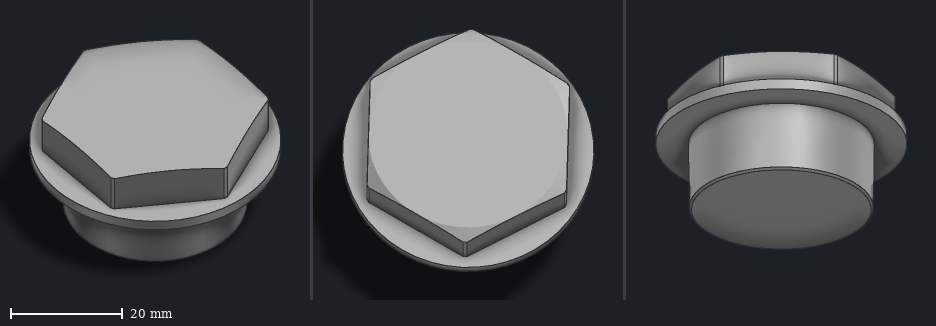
import cadquery as cq
import math

flange_diameter = 45.0
flange_thickness = 2.0
hex_across_flats = 35.7
hex_corner_diameter = 40.8
hex_height = 7.8
hex_chamfer_angle = 15.0
shank_length = 13.0
shank_root_diameter = 33.3
shank_end_diameter = 32.95
shank_chamfer = 0.4

flange_bottom = shank_length
flange_top = flange_bottom + flange_thickness
hex_top = flange_top + hex_height


def make_shank():
    """Slightly tapered plug, narrowest at its chamfered free end."""
    root_radius = shank_root_diameter / 2
    end_radius = shank_end_diameter / 2
    profile = (
        cq.Workplane("XZ")
        .moveTo(0, 0)
        .lineTo(end_radius - shank_chamfer, 0)
        .lineTo(end_radius, shank_chamfer)
        .lineTo(root_radius, flange_bottom)
        .lineTo(0, flange_bottom)
        .close()
    )
    return profile.revolve(360, (0, 0, 0), (0, 1, 0))


def make_flange():
    """Round sealing flange between the shank and the head."""
    return (
        cq.Workplane("XY")
        .workplane(offset=flange_bottom)
        .circle(flange_diameter / 2)
        .extrude(flange_thickness)
    )


def make_head():
    """Hexagon with flats facing +X and -X, its corners rounded and its top edge turned to a cone."""
    hexagon = (
        cq.Workplane("XY")
        .workplane(offset=flange_top)
        .polygon(6, hex_across_flats, circumscribed=True)
        .extrude(hex_height)
    )
    top_radius = hex_across_flats / 2
    corner_radius = hex_corner_diameter / 2
    cone_drop = (corner_radius - top_radius) * math.tan(math.radians(hex_chamfer_angle))
    turned_envelope = (
        cq.Workplane("XZ")
        .moveTo(0, flange_top)
        .lineTo(corner_radius, flange_top)
        .lineTo(corner_radius, hex_top - cone_drop)
        .lineTo(top_radius, hex_top)
        .lineTo(0, hex_top)
        .close()
        .revolve(360, (0, 0, 0), (0, 1, 0))
    )
    return hexagon.intersect(turned_envelope)


result = make_shank().union(make_flange()).union(make_head())